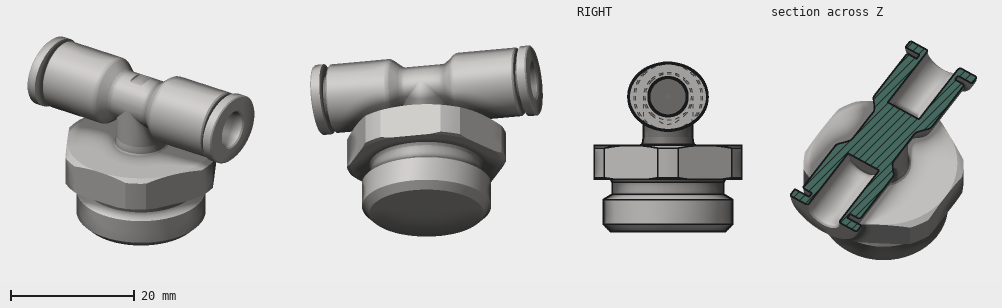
import cadquery as cq
import math


overall_length = 35.9
tube_axis_height = 21.9

socket_radius = 5.6
waist_radius = 4.0
body_end = 15.6
body_end_chamfer = 0.25
shoulder_outer_x = 5.43
shoulder_inner_x = 3.46
shoulder_fillet = 1.05

collar_width = 13.0
collar_height = 11.1
collar_thickness = 1.55
collar_chamfer = 0.2
collar_neck_radius = 3.75

bore_radius = 3.0
bore_depth = 12.0
bore_chamfer = 0.25

recess_floor_height = 3.7
recess_floor_length = 2.3
recess_top_length = 2.55

stem_radius = waist_radius
stem_flare_height = 1.35
stem_flare_radius = 4.22
stem_foot_height = 0.2
stem_foot_radius = 4.5

hex_bottom = 8.5
hex_top = 14.0
hex_across_flats = 24.0
hex_corner_radius = 13.0
hex_top_circle_radius = hex_across_flats / 2
hex_top_chamfer_height = 0.45
hex_bottom_circle_radius = 12.4
hex_bottom_chamfer_height = 0.25

thread_radius = 10.5
thread_top = 5.2
thread_chamfer = 1.2
relief_radius = 9.1
relief_bottom = 6.05
relief_top = 8.0
relief_root_radius = 9.3

half_length = overall_length / 2
collar_inner_x = half_length - collar_thickness
hex_across_corners = hex_across_flats / math.cos(math.radians(30))


def revolve_about_z(points):
    """Revolve a closed (radius, height) outline about the Z axis."""
    return cq.Workplane("XZ").polyline(points).close().revolve(360, (0, 0, 0), (0, 1, 0))


def make_stud():
    """Threaded foot and relief groove, up to the underside of the hexagon."""
    return revolve_about_z([
        (0, 0),
        (thread_radius - thread_chamfer, 0),
        (thread_radius, thread_chamfer),
        (thread_radius, thread_top),
        (relief_radius, relief_bottom),
        (relief_radius, relief_top),
        (relief_root_radius, hex_bottom),
        (0, hex_bottom),
    ])


def make_hexagon():
    """Hexagon with two flats facing Y, its corners turned round and chamfered."""
    prism = (
        cq.Workplane("XY", origin=(0, 0, hex_bottom))
        .polygon(6, hex_across_corners)
        .extrude(hex_top - hex_bottom)
    )
    turned_blank = revolve_about_z([
        (0, hex_bottom),
        (hex_bottom_circle_radius, hex_bottom),
        (hex_corner_radius, hex_bottom + hex_bottom_chamfer_height),
        (hex_corner_radius, hex_top - hex_top_chamfer_height),
        (hex_top_circle_radius, hex_top),
        (0, hex_top),
    ])
    return prism.intersect(turned_blank)


def make_stem():
    """Round stem, flared where it stands on the hexagon."""
    return revolve_about_z([
        (0, hex_top),
        (stem_foot_radius, hex_top),
        (stem_flare_radius, hex_top + stem_foot_height),
        (stem_radius, hex_top + stem_flare_height),
        (stem_radius, tube_axis_height),
        (0, tube_axis_height),
    ])


def make_tube_body():
    """Two sockets joined by a narrower waist, with rounded conical shoulders."""
    half_outline = [
        (body_end, socket_radius - body_end_chamfer),
        (body_end - body_end_chamfer, socket_radius),
        (shoulder_outer_x, socket_radius),
        (shoulder_inner_x, waist_radius),
    ]
    mirrored_outline = [(-x, radius) for x, radius in reversed(half_outline)]
    outline = [(body_end, 0)] + half_outline + mirrored_outline + [(-body_end, 0)]
    body = cq.Workplane("XZ").polyline(outline).close().revolve(360, (0, 0, 0), (1, 0, 0))

    socket_middle_x = (body_end + shoulder_outer_x) / 2
    shoulder_zone = cq.selectors.BoxSelector(
        (-socket_middle_x, -socket_radius, -socket_radius),
        (socket_middle_x, socket_radius, socket_radius),
    )
    return body.edges("%CIRCLE").edges(shoulder_zone).fillet(shoulder_fillet)


def make_collar():
    """Oval release collar on its round neck, at the +X end."""
    neck = (
        cq.Workplane("YZ", origin=(body_end, 0, 0))
        .circle(collar_neck_radius)
        .extrude(collar_inner_x - body_end)
    )
    flange = (
        cq.Workplane("YZ", origin=(collar_inner_x, 0, 0))
        .ellipse(collar_width / 2, collar_height / 2)
        .extrude(collar_thickness)
        .faces(">X")
        .chamfer(collar_chamfer)
    )
    return neck.union(flange)


def make_bore():
    """Blind tube bore with a chamfered mouth, at the +X end."""
    bore_outline = [
        (half_length - bore_depth, 0),
        (half_length - bore_depth, bore_radius),
        (half_length - bore_chamfer, bore_radius),
        (half_length, bore_radius + bore_chamfer),
        (half_length, 0),
    ]
    return cq.Workplane("XZ").polyline(bore_outline).close().revolve(360, (0, 0, 0), (1, 0, 0))


def make_recess():
    """Cutter for the flat on the waist, its two end walls sloping outward."""
    return (
        cq.Workplane("XZ", origin=(0, waist_radius, 0))
        .moveTo(-recess_floor_length / 2, recess_floor_height)
        .lineTo(recess_floor_length / 2, recess_floor_height)
        .lineTo(recess_top_length / 2, waist_radius)
        .lineTo(-recess_top_length / 2, waist_radius)
        .close()
        .extrude(2 * waist_radius)
    )


tube_lift = (0, 0, tube_axis_height)
collar = make_collar()
bore = make_bore()

tube = make_tube_body().union(collar).union(collar.mirror("YZ")).translate(tube_lift)
cutters = make_recess().union(bore).union(bore.mirror("YZ")).translate(tube_lift)

result = make_stud().union(make_hexagon()).union(make_stem()).union(tube).cut(cutters)